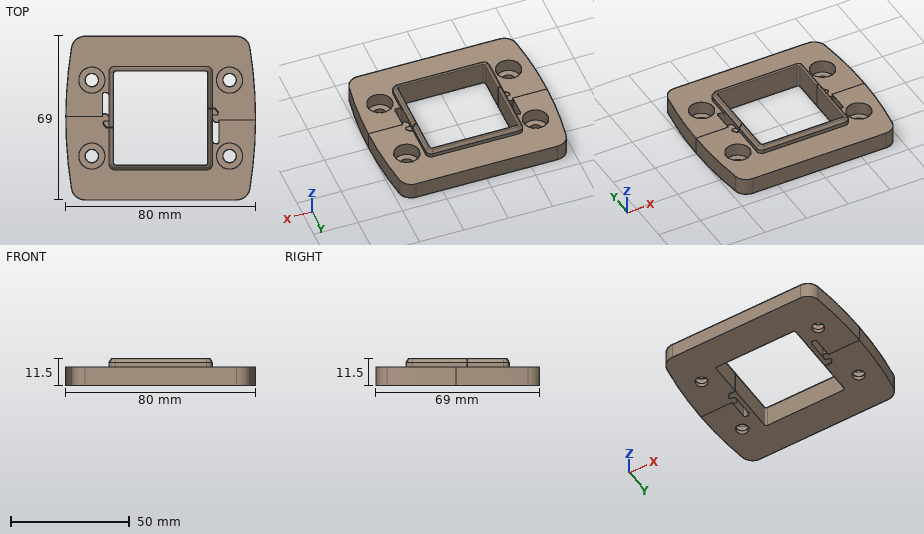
import cadquery as cq
import math

plate_length = 80.0
plate_width = 69.0
plate_height = 8.0
side_radius = 185.0
plate_corner_radius = 5.75

window_size = 39.6
window_corner_radius = 1.0
collar_wall = 2.0
collar_corner_radius = 2.5
overall_height = 11.5
bevel_width = 1.1
bevel_height = 1.75
outer_rim_radius = 0.65
inner_rim_radius = 0.5

screw_spacing_x = 58.0
screw_spacing_y = 32.0
screw_diameter = 5.5
bore_diameter = 11.0
bore_depth = 6.0

split_offset = 0.75
arm_face = window_size / 2 + collar_wall
slot_face = 24.5
slot_end = 10.7
tab_end = 1.9
hook_underside = 1.3
hook_reach = 24.2
hook_ramp_start = 22.95
hook_ramp_end = 2.25
hook_top = 3.85
snap_clearance = 0.25
slot_round = 1.3
tab_round = 1.8
small_round = 0.7
catch_round = 0.6
ramp_round = 0.3

seam_inner = window_size / 4
blank_x = plate_length
blank_y = plate_width


def toward(start, end, distance):
    """Point at a distance from start on the way to end."""
    length = math.dist(start, end)
    return tuple(s + (e - s) * distance / length for s, e in zip(start, end))


def rounded_outline(corners):
    """Closed outline through (x, y, radius) corners, each rounded by its radius (0 = sharp)."""
    outline = None
    for i, (x, y, radius) in enumerate(corners):
        corner = (x, y)
        before = corners[i - 1][:2]
        after = corners[(i + 1) % len(corners)][:2]
        bisector = (
            toward(corner, before, 1.0)[0] + toward(corner, after, 1.0)[0] - x,
            toward(corner, before, 1.0)[1] + toward(corner, after, 1.0)[1] - y,
        )
        half_angle = math.acos(min(1.0, math.dist(bisector, corner) / 2))
        setback = radius / math.tan(half_angle) if radius else 0.0
        arc_start = toward(corner, before, setback)
        outline = outline.lineTo(*arc_start) if outline else cq.Workplane("XY").moveTo(*arc_start)
        if radius:
            arc_middle = toward(corner, bisector, radius / math.sin(half_angle) - radius)
            outline = outline.threePointArc(arc_middle, toward(corner, after, setback))
    return outline.close()


def make_plate():
    """Plate with two bowed sides and rounded corners."""
    half_length = plate_length / 2
    half_width = plate_width / 2
    bow = side_radius - math.sqrt(side_radius**2 - half_width**2)
    corner_x = half_length - bow
    return (
        cq.Workplane("XY")
        .moveTo(-corner_x, -half_width)
        .lineTo(corner_x, -half_width)
        .threePointArc((half_length, 0), (corner_x, half_width))
        .lineTo(-corner_x, half_width)
        .threePointArc((-half_length, 0), (-corner_x, -half_width))
        .close()
        .extrude(plate_height)
        .edges("|Z")
        .fillet(plate_corner_radius)
    )


def make_frame():
    """Whole frame before it is split: plate, collar, window and screw holes."""
    collar_size = window_size + 2 * collar_wall
    collar = (
        cq.Workplane("XY")
        .rect(collar_size, collar_size)
        .extrude(overall_height)
        .edges("|Z")
        .fillet(collar_corner_radius)
        .faces(">Z")
        .chamfer(bevel_height, bevel_width)
        .faces(">Z")
        .edges()
        .fillet(outer_rim_radius)
    )
    window = (
        cq.Workplane("XY")
        .rect(window_size, window_size)
        .extrude(overall_height)
        .edges("|Z")
        .fillet(window_corner_radius)
    )
    window_rim = cq.selectors.AreaNthSelector(0)
    collar = collar.cut(window).faces(">Z").wires(window_rim).edges().fillet(inner_rim_radius)
    screw_holes = (
        cq.Workplane("XY")
        .rect(screw_spacing_x, screw_spacing_y, forConstruction=True)
        .vertices()
        .circle(screw_diameter / 2)
        .extrude(plate_height)
    )
    counterbores = (
        cq.Workplane("XY")
        .workplane(offset=plate_height - bore_depth)
        .rect(screw_spacing_x, screw_spacing_y, forConstruction=True)
        .vertices()
        .circle(bore_diameter / 2)
        .extrude(bore_depth)
    )
    return make_plate().cut(window).union(collar).cut(screw_holes).cut(counterbores)


def make_half_region():
    """Region holding the +Y half: hook recess and tab on +X, spring arm with hook on -X."""
    recess_and_tab = [
        (blank_x, -split_offset, 0),
        (slot_face, -split_offset, 0),
        (slot_face, -tab_end, small_round),
        (arm_face, -tab_end, tab_round),
        (arm_face, hook_underside, catch_round),
        (hook_reach, hook_underside, small_round),
        (hook_reach, hook_ramp_end + snap_clearance, ramp_round),
        (hook_ramp_start, hook_top + snap_clearance, ramp_round),
        (seam_inner, hook_top + snap_clearance, 0),
    ]
    arm_and_hook = [
        (-seam_inner, -hook_top, 0),
        (-hook_ramp_start, -hook_top, ramp_round),
        (-hook_reach, -hook_ramp_end, ramp_round),
        (-hook_reach, -hook_underside, small_round),
        (-arm_face, -hook_underside, catch_round),
        (-arm_face, slot_end, slot_round),
        (-slot_face, slot_end, small_round),
        (-slot_face, split_offset, 0),
        (-blank_x, split_offset, 0),
    ]
    far_side = [(-blank_x, blank_y, 0), (blank_x, blank_y, 0)]
    return rounded_outline(recess_and_tab + arm_and_hook + far_side).extrude(overall_height)


half_frame = make_frame().intersect(make_half_region())

halves = [half_frame.rotate((0, 0, 0), (0, 0, 1), angle).solids().val() for angle in (0, 180)]

result = cq.Compound.makeCompound(halves)